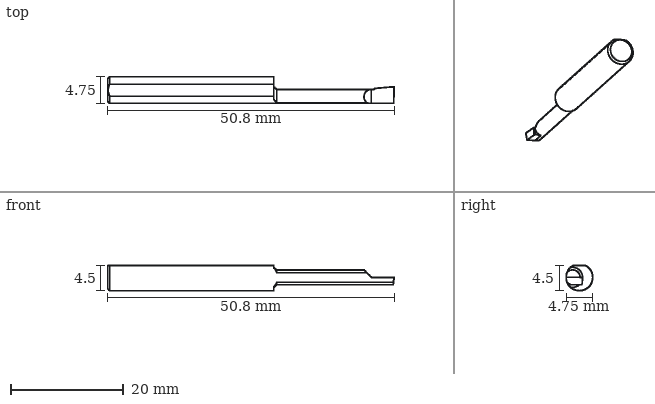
import cadquery as cq
import math

overall_length = 50.8

shank_diameter = 4.75
shank_radius = shank_diameter / 2
shank_length = 29.45
shank_height = 4.5
flat_z = shank_height - shank_radius
back_chamfer = 0.38

neck_radius = 1.32
neck_top_y = 0.12
neck_axis_y = neck_top_y - neck_radius
collar_length = 0.55
collar_rise = 0.45

rake_z = 0.0
rake_length = 4.05
rake_start = overall_length - rake_length
ramp_angle = 45
tip_y = 0.62
side_edge_length = 3.35
side_edge_angle = 5
end_edge_angle = 1.5
shoulder_angle = 30
relief_angle = 7
end_overshoot = 1.0


def rise(run, angle):
    """Height climbed over a run at an angle in degrees."""
    return run * math.tan(math.radians(angle))


def make_shank():
    shank = cq.Workplane("YZ").circle(shank_radius).extrude(shank_length)
    shank = shank.faces("<X").chamfer(back_chamfer)
    above_flat = (
        cq.Workplane("XY", origin=(0, 0, flat_z))
        .rect(2 * shank_length, shank_diameter)
        .extrude(shank_diameter)
    )
    return shank.cut(above_flat)


def make_neck():
    """Round neck with a conical collar at the shank, revolved about the neck axis."""
    return (
        cq.Workplane("XY")
        .moveTo(shank_length, neck_axis_y)
        .lineTo(shank_length, neck_top_y + collar_rise)
        .lineTo(shank_length + collar_length, neck_top_y)
        .lineTo(overall_length, neck_top_y)
        .lineTo(overall_length, neck_axis_y)
        .close()
        .revolve(360, (0, neck_axis_y, 0), (1, neck_axis_y, 0))
    )


def make_above_rake():
    """Material over the rake face, ending in a ramp up to the full neck."""
    ramp_rise = shank_diameter
    ramp_run = ramp_rise / math.tan(math.radians(ramp_angle))
    return (
        cq.Workplane("XZ")
        .moveTo(rake_start, rake_z)
        .lineTo(rake_start - ramp_run, rake_z + ramp_rise)
        .lineTo(overall_length, rake_z + ramp_rise)
        .lineTo(overall_length, rake_z)
        .close()
        .extrude(shank_diameter, both=True)
    )


def make_tip():
    """Cutting tip with side relief, left long so that the end face can be cut afterwards."""
    side_start = overall_length - side_edge_length
    side_y = tip_y - rise(side_edge_length, side_edge_angle)
    shoulder_run = (side_y - neck_top_y) / math.tan(math.radians(shoulder_angle))
    shoulder_x = side_start - shoulder_run
    long_end = overall_length + end_overshoot
    return (
        cq.Workplane("XY", origin=(0, 0, rake_z))
        .moveTo(long_end, tip_y + rise(end_overshoot, side_edge_angle))
        .lineTo(side_start, side_y)
        .lineTo(shoulder_x, neck_top_y)
        .lineTo(shoulder_x, neck_axis_y)
        .lineTo(long_end, neck_axis_y)
        .close()
        .extrude(-neck_radius, taper=relief_angle)
    )


def make_end_waste():
    """Material beyond the end face, which slopes back from the tip in Y and in Z."""
    reach = shank_diameter

    def edge_x(y, z):
        return overall_length - rise(tip_y - y, end_edge_angle) - rise(rake_z - z, relief_angle)

    def section(z):
        return cq.Wire.makePolygon(
            [
                cq.Vector(edge_x(-reach, z), -reach, z),
                cq.Vector(edge_x(reach, z), reach, z),
                cq.Vector(overall_length + reach, reach, z),
                cq.Vector(overall_length + reach, -reach, z),
            ],
            close=True,
        )

    return cq.Workplane(cq.Solid.makeLoft([section(-reach), section(rake_z)], True))


envelope = cq.Workplane("YZ").circle(shank_radius).extrude(overall_length)
blade = make_neck().cut(make_above_rake()).union(make_tip())
blade = blade.cut(make_end_waste()).intersect(envelope)
result = make_shank().union(blade)